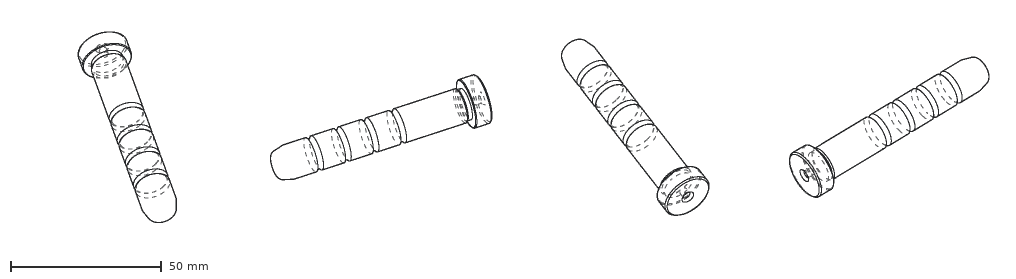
import cadquery as cq
import math

length = 75.0
head_diameter = 17.0
head_length = 6.0
head_front_chamfer = 0.5
head_back_chamfer = 0.3

shank_radius = 6.0

neck_depth = 0.5
neck_length = 2.0
neck_taper_length = 0.5

groove_count = 4
first_groove_center = 31.0
groove_pitch = 10.0
groove_width = 2.0
groove_depth = 0.7

nose_length = 5.0
nose_angle = math.radians(15)
nose_round = 2.0

mouth_diameter = 4.5
pilot_diameter = 2.6
pilot_depth = 3.0
drill_point_angle = math.radians(118)


def revolve_about_x(profile):
    """Spin a closed profile drawn as (X, radius) around the X axis."""
    return profile.close().revolve(360, (0, 0, 0), (1, 0, 0))


def make_head():
    head = cq.Workplane("YZ").circle(head_diameter / 2).extrude(head_length)
    head = head.faces("<X").chamfer(head_front_chamfer)
    return head.faces(">X").chamfer(head_back_chamfer)


def make_shank():
    nose_start = length - nose_length
    tip_radius = shank_radius - nose_length * math.tan(nose_angle)
    shank = revolve_about_x(
        cq.Workplane("XY")
        .moveTo(head_length / 2, 0)
        .lineTo(head_length / 2, shank_radius)
        .lineTo(nose_start, shank_radius)
        .lineTo(length, tip_radius)
        .lineTo(length, 0)
    )
    return shank.faces(">X").edges().fillet(nose_round)


def make_neck_cutter():
    neck_radius = shank_radius - neck_depth
    neck_end = head_length + neck_length
    return revolve_about_x(
        cq.Workplane("XY")
        .moveTo(head_length, neck_radius)
        .lineTo(neck_end - neck_taper_length, neck_radius)
        .lineTo(neck_end, shank_radius)
        .lineTo(head_length, shank_radius)
    )


def make_groove_cutter(center):
    half_width = groove_width / 2
    return revolve_about_x(
        cq.Workplane("XY")
        .moveTo(center - half_width, shank_radius)
        .threePointArc((center, shank_radius - groove_depth), (center + half_width, shank_radius))
    )


def make_center_hole():
    """Countersunk pilot hole with a conical drill point."""
    mouth_radius = mouth_diameter / 2
    pilot_radius = pilot_diameter / 2
    countersink_depth = mouth_radius - pilot_radius
    point_length = pilot_radius / math.tan(drill_point_angle / 2)
    return revolve_about_x(
        cq.Workplane("XY")
        .moveTo(0, 0)
        .lineTo(0, mouth_radius)
        .lineTo(countersink_depth, pilot_radius)
        .lineTo(pilot_depth, pilot_radius)
        .lineTo(pilot_depth + point_length, 0)
    )


shank = make_shank().cut(make_neck_cutter())
for index in range(groove_count):
    shank = shank.cut(make_groove_cutter(first_groove_center + index * groove_pitch))

result = make_head().union(shank).cut(make_center_hole())